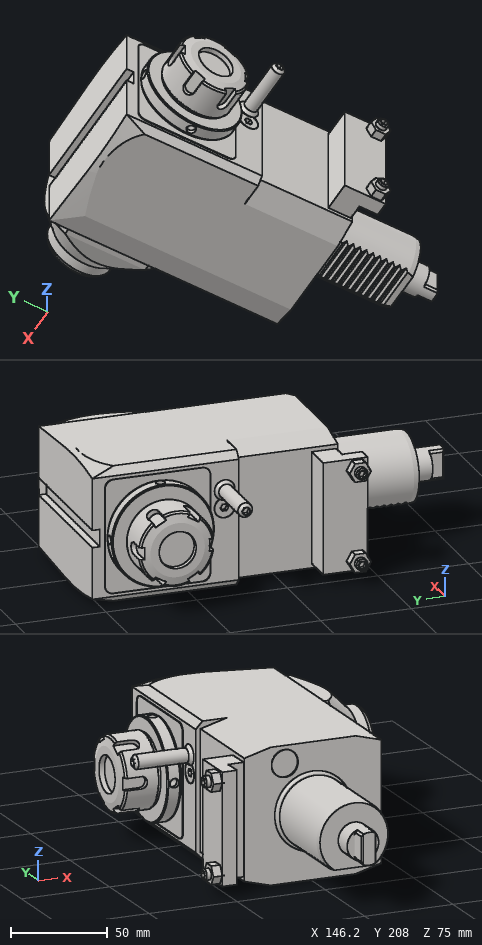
import cadquery as cq
import math

OVERLAP = 1.0
OVERALL_LENGTH = 208.0
OVERALL_WIDTH = 146.2
OVERALL_HEIGHT = 75.0

HOUSING_LENGTH = 136.5
HALF_HEIGHT = OVERALL_HEIGHT / 2
EDGE_Z = 33.5
UPPER_LEFT = -41.5
UPPER_BEVEL = 4.0
LOWER_LEFT = -39.0
LOWER_BEVEL = 15.0
RIGHT = 39.0
RIGHT_BEVEL = 14.5
STEP_Y = 55.5
BACK_BEVEL_LENGTH = 13.0
ARC_MIDDLE_SHARE = 0.23
ARC_MIDDLE_RISE = 2.5
ARC_END_SHARE = 0.5
ARC_END_RISE = 2.7
NOTCH_DEPTH = 4.2
NOTCH_WIDTH = 9.5
PLUG_X = -15.8
PLUG_Z = 27.7
PLUG_RADIUS = 7.5
PLUG_RECESS = 0.8

SHANK_RADIUS = 20.0
SHANK_LENGTH = 52.2
SHANK_CHAMFER_LENGTH = 3.1
SHANK_CHAMFER_DEPTH = 0.6
SHANK_FLAT_Z = -15.8
FLAT_RUNOUT_Y = -3.3
COLLAR_RADIUS = 21.6
COLLAR_LENGTH = 2.5
COLLAR_ROUND = 1.5
GROOVE_COUNT = 10
GROOVE_PITCH = 4.0
FIRST_GROOVE_Y = -11.2
GROOVE_DEPTH = 1.2
GROOVE_WIDTH = 3.1
STEM_RADIUS = 9.0
STEM_END_Y = -63.5
TANG_END_Y = HOUSING_LENGTH - OVERALL_LENGTH
TANG_WIDTH = 8.3
TANG_SIDE_CHAMFER = 1.0
TANG_END_CHAMFER = 0.8
TANG_ROOT_FILLET = 0.6

SPINDLE_Y = 100.5
PLATE_THICKNESS = 0.5
PLATE_LENGTH = 58.2
PLATE_HEIGHT = 63.2
PLATE_CORNER = 4.5
FLANGE_RADIUS = 28.3
FLANGE_FACE_X = -50.1
FLANGE_HOLE_COUNT = 4
FLANGE_HOLE_X = -46.2
FLANGE_HOLE_RADIUS = 2.5
FLANGE_HOLE_DEPTH = 2.5
FLANGE_HOLE_TIP_DEPTH = 4.0
FLANGE_BACK_X = -42.5
FLANGE_CHAMFER = 0.6
NECK_RADIUS = 20.0
NUT_RADIUS = 20.8
NUT_BACK_X = -51.8
NUT_RIM_X = -70.5
NUT_RIM_CHAMFER = 1.0
NUT_FACE_X = -71.8
NUT_FACE_RADIUS = 15.0
BORE_RADIUS = 10.2
BORE_DEPTH = 3.1
SLOT_COUNT = 6
SLOT_WIDTH = 6.7
SLOT_END_X = -58.2
SLOT_FLOOR_RADIUS = 17.9
COVER_RADIUS = 40.1
COVER_DISC_X = 43.0
COVER_NOSE_X = 63.9
COVER_CHAMFER_X = 69.7
COVER_END_X = 72.2
COVER_END_RADIUS = 17.7
COVER_TOP_Y = 31.5
COVER_FLAT_Z = 32.2
COVER_FLAT_SLOPE = 12.6

PIN_Y = 63.5
PIN_Z = 17.5
PIN_RADIUS = 4.0
PIN_TIP_X = COVER_END_X - OVERALL_WIDTH
PIN_CHAMFER = 1.9
PIN_COLLAR_RADIUS = 5.6
PIN_COLLAR_LENGTH = 2.0
SCREW_Z = 7.7
SCREW_RADIUS = 5.6
SCREW_RECESS = 0.2
SOCKET_WIDTH = 3.7
SOCKET_DEPTH = 2.5

BRACKET_LEFT = -56.0
BRACKET_LEG_RIGHT = -47.6
BRACKET_TOP_Y = 14.4
BRACKET_STEP_Y = 0.8
BRACKET_BOTTOM_Y = -10.2
BRACKET_HEIGHT = 62.2
NUT_Y = -4.4
NUT_Z = 25.2
HEX_ACROSS_FLATS = 10.2
HEX_THICKNESS = 5.0
STUD_RADIUS = 3.1
STUD_LENGTH = 8.3
STUD_CHAMFER = 0.8


def rod_x(x_start, x_end, radius, y, z):
    """Cylinder along X between two X positions."""
    return cq.Workplane("YZ", origin=(x_start, y, z)).circle(radius).extrude(x_end - x_start)


def hex_x(x_start, x_end, across_flats, y, z):
    """Hexagonal bar along X with its flats facing up and down."""
    corner_diameter = across_flats / math.cos(math.pi / 6)
    return cq.Workplane("YZ", origin=(x_start, y, z)).polygon(6, corner_diameter).extrude(x_end - x_start)


def turned_x(profile, y, z):
    """Body of revolution about an axis along X; the profile lists (x, radius) pairs."""
    section = cq.Workplane("XY").polyline(profile).close()
    return section.revolve(360, (0, 0, 0), (1, 0, 0)).translate((0, y, z))


def box(x_range, y_range, z_range):
    """Box given by its limits along each axis."""
    sizes = [end - start for start, end in (x_range, y_range, z_range)]
    corner = (x_range[0], y_range[0], z_range[0])
    return cq.Workplane("XY").box(*sizes, centered=False).translate(corner)


def bevelled_block(left, left_bevel, y_start, y_end):
    """Length of housing with its four long edges bevelled."""
    outline = [
        (left, -EDGE_Z),
        (left + left_bevel, -HALF_HEIGHT),
        (RIGHT - RIGHT_BEVEL, -HALF_HEIGHT),
        (RIGHT, -EDGE_Z),
        (RIGHT, EDGE_Z),
        (RIGHT - RIGHT_BEVEL, HALF_HEIGHT),
        (left + left_bevel, HALF_HEIGHT),
        (left, EDGE_Z),
    ]
    plane = cq.Workplane("XZ", origin=(0, y_start, 0))
    return plane.polyline(outline).close().extrude(y_start - y_end)


def back_bevel_cutter():
    """Ruled body above the arched bevel at the back of the top face."""
    def section(plane, left, right, z):
        clearance_z = HALF_HEIGHT + BACK_BEVEL_LENGTH
        width = right - left
        return (
            plane.moveTo(left, z)
            .threePointArc(
                (left + ARC_MIDDLE_SHARE * width, z + ARC_MIDDLE_RISE),
                (left + ARC_END_SHARE * width, z + ARC_END_RISE),
            )
            .lineTo(right, z)
            .lineTo(right, clearance_z)
            .lineTo(left, clearance_z)
            .close()
        )

    inner_y = HOUSING_LENGTH - BACK_BEVEL_LENGTH
    inner_left = UPPER_LEFT + UPPER_BEVEL
    inner = section(cq.Workplane("XZ", origin=(0, inner_y, 0)), inner_left, RIGHT - RIGHT_BEVEL, HALF_HEIGHT)
    both = section(inner.workplane(offset=-BACK_BEVEL_LENGTH), UPPER_LEFT, RIGHT, EDGE_Z)
    return both.loft(ruled=True)


def make_housing():
    upper = bevelled_block(UPPER_LEFT, UPPER_BEVEL, STEP_Y, HOUSING_LENGTH)
    lower = bevelled_block(LOWER_LEFT, LOWER_BEVEL, 0, STEP_Y)
    cutter = back_bevel_cutter()
    body = upper.cut(cutter).cut(cutter.mirror("XY")).union(lower)
    notch = box(
        (UPPER_LEFT, RIGHT),
        (HOUSING_LENGTH - NOTCH_DEPTH, HOUSING_LENGTH),
        (-NOTCH_WIDTH / 2, NOTCH_WIDTH / 2),
    )
    plug = cq.Workplane("XZ", origin=(PLUG_X, 0, PLUG_Z)).circle(PLUG_RADIUS).extrude(-PLUG_RECESS)
    return body.cut(notch).cut(plug)


def make_shank():
    def rod_y(y_start, y_end, radius):
        return cq.Workplane("XZ", origin=(0, y_start, 0)).circle(radius).extrude(y_start - y_end)

    def across_shank(outline):
        return cq.Workplane("YZ").polyline(outline).close().extrude(SHANK_RADIUS, both=True)

    shank = rod_y(OVERLAP, -SHANK_LENGTH, SHANK_RADIUS)
    shank = shank.faces("<Y").chamfer(SHANK_CHAMFER_LENGTH, SHANK_CHAMFER_DEPTH)
    runout_length = SHANK_RADIUS + SHANK_FLAT_Z
    below_flat = [
        (FLAT_RUNOUT_Y, -SHANK_RADIUS),
        (FLAT_RUNOUT_Y - runout_length, SHANK_FLAT_Z),
        (-SHANK_LENGTH, SHANK_FLAT_Z),
        (-SHANK_LENGTH, -SHANK_RADIUS),
    ]
    shank = shank.cut(across_shank(below_flat))
    for index in range(GROOVE_COUNT):
        y = FIRST_GROOVE_Y - index * GROOVE_PITCH
        groove = [
            (y - GROOVE_WIDTH / 2, SHANK_FLAT_Z),
            (y, SHANK_FLAT_Z + GROOVE_DEPTH),
            (y + GROOVE_WIDTH / 2, SHANK_FLAT_Z),
        ]
        shank = shank.cut(across_shank(groove))
    collar = rod_y(OVERLAP, -COLLAR_LENGTH, COLLAR_RADIUS).faces("<Y").edges().fillet(COLLAR_ROUND)
    stem = rod_y(-SHANK_LENGTH + OVERLAP, STEM_END_Y, STEM_RADIUS)
    tang_start_y = STEM_END_Y + OVERLAP
    tang_slab = box(
        (-TANG_WIDTH / 2, TANG_WIDTH / 2),
        (TANG_END_Y, tang_start_y),
        (-STEM_RADIUS, STEM_RADIUS),
    )
    tang = rod_y(tang_start_y, TANG_END_Y, STEM_RADIUS).intersect(tang_slab)
    tang = tang.edges("|Y").chamfer(TANG_SIDE_CHAMFER)
    tang = tang.faces("<Y").edges("|Z").chamfer(TANG_END_CHAMFER)
    stem = stem.union(tang)
    stem = stem.edges("|Z").edges(">Y").fillet(TANG_ROOT_FILLET)
    return shank.union(collar).union(stem)


def make_collet_side():
    plate = (
        cq.Workplane("YZ", origin=(UPPER_LEFT + OVERLAP, SPINDLE_Y, 0))
        .rect(PLATE_LENGTH, PLATE_HEIGHT)
        .extrude(-OVERLAP - PLATE_THICKNESS)
        .edges("|X")
        .fillet(PLATE_CORNER)
    )
    profile = [
        (UPPER_LEFT + OVERLAP, 0),
        (UPPER_LEFT + OVERLAP, FLANGE_RADIUS - FLANGE_CHAMFER),
        (FLANGE_BACK_X, FLANGE_RADIUS - FLANGE_CHAMFER),
        (FLANGE_BACK_X - FLANGE_CHAMFER, FLANGE_RADIUS),
        (FLANGE_FACE_X + FLANGE_CHAMFER, FLANGE_RADIUS),
        (FLANGE_FACE_X, FLANGE_RADIUS - FLANGE_CHAMFER),
        (FLANGE_FACE_X, NECK_RADIUS),
        (NUT_BACK_X, NECK_RADIUS),
        (NUT_BACK_X, NUT_RADIUS),
        (NUT_RIM_X + NUT_RIM_CHAMFER, NUT_RADIUS),
        (NUT_RIM_X, NUT_RADIUS - NUT_RIM_CHAMFER),
        (NUT_FACE_X, NUT_FACE_RADIUS),
        (NUT_FACE_X, BORE_RADIUS),
        (NUT_FACE_X + BORE_DEPTH, BORE_RADIUS),
        (NUT_FACE_X + BORE_DEPTH, 0),
    ]
    spindle = turned_x(profile, 0, 0)
    half_slot = SLOT_WIDTH / 2
    slot = (
        cq.Workplane("XZ")
        .moveTo(NUT_FACE_X, half_slot)
        .lineTo(SLOT_END_X - half_slot, half_slot)
        .threePointArc((SLOT_END_X, 0), (SLOT_END_X - half_slot, -half_slot))
        .lineTo(NUT_FACE_X, -half_slot)
        .close()
        .extrude(-NUT_RADIUS)
        .translate((0, SLOT_FLOOR_RADIUS, 0))
    )
    for index in range(SLOT_COUNT):
        spindle = spindle.cut(slot.rotate((0, 0, 0), (1, 0, 0), index * 360 / SLOT_COUNT))
    hole = (
        cq.Workplane("XZ")
        .polyline([
            (0, FLANGE_RADIUS - FLANGE_HOLE_TIP_DEPTH),
            (FLANGE_HOLE_RADIUS, FLANGE_RADIUS - FLANGE_HOLE_DEPTH),
            (FLANGE_HOLE_RADIUS, FLANGE_RADIUS),
            (0, FLANGE_RADIUS),
        ])
        .close()
        .revolve(360, (0, 0, 0), (0, 1, 0))
        .translate((FLANGE_HOLE_X, 0, 0))
    )
    for index in range(FLANGE_HOLE_COUNT):
        spindle = spindle.cut(hole.rotate((0, 0, 0), (1, 0, 0), index * 360 / FLANGE_HOLE_COUNT))
    return plate.union(spindle.translate((0, SPINDLE_Y, 0)))


def make_cover():
    nose_radius = COVER_RADIUS - (COVER_NOSE_X - COVER_DISC_X)
    profile = [
        (RIGHT - OVERLAP, 0),
        (RIGHT - OVERLAP, COVER_RADIUS),
        (COVER_DISC_X, COVER_RADIUS),
        (COVER_NOSE_X, nose_radius),
        (COVER_CHAMFER_X, nose_radius),
        (COVER_END_X, COVER_END_RADIUS),
        (COVER_END_X, 0),
    ]
    end_z = COVER_FLAT_Z - (COVER_END_X - COVER_DISC_X) * math.tan(math.radians(COVER_FLAT_SLOPE))
    envelope = (
        cq.Workplane("XZ")
        .polyline([
            (RIGHT - OVERLAP, -COVER_FLAT_Z),
            (COVER_DISC_X, -COVER_FLAT_Z),
            (COVER_END_X, -end_z),
            (COVER_END_X, end_z),
            (COVER_DISC_X, COVER_FLAT_Z),
            (RIGHT - OVERLAP, COVER_FLAT_Z),
        ])
        .close()
        .extrude(COVER_RADIUS + COVER_TOP_Y)
        .translate((0, SPINDLE_Y + COVER_TOP_Y, 0))
    )
    return turned_x(profile, SPINDLE_Y, 0).intersect(envelope)


def make_pin():
    collar_x = UPPER_LEFT - PIN_COLLAR_LENGTH
    profile = [
        (UPPER_LEFT + OVERLAP, 0),
        (UPPER_LEFT + OVERLAP, PIN_COLLAR_RADIUS),
        (UPPER_LEFT, PIN_COLLAR_RADIUS),
        (collar_x, PIN_RADIUS),
        (PIN_TIP_X + PIN_CHAMFER, PIN_RADIUS),
        (PIN_TIP_X, PIN_RADIUS - PIN_CHAMFER),
        (PIN_TIP_X, 0),
    ]
    socket = hex_x(PIN_TIP_X, PIN_TIP_X + SOCKET_DEPTH, SOCKET_WIDTH, PIN_Y, PIN_Z)
    return turned_x(profile, PIN_Y, PIN_Z).cut(socket)


def screw_recess():
    head_x = UPPER_LEFT + SCREW_RECESS
    head = rod_x(UPPER_LEFT, head_x, SCREW_RADIUS, PIN_Y, SCREW_Z)
    return head.union(hex_x(UPPER_LEFT, head_x + SOCKET_DEPTH, SOCKET_WIDTH, PIN_Y, SCREW_Z))


def make_bracket():
    half_height = BRACKET_HEIGHT / 2
    z_range = (-half_height, half_height)
    foot = box((BRACKET_LEFT, LOWER_LEFT + OVERLAP), (BRACKET_STEP_Y, BRACKET_TOP_Y), z_range)
    leg = box((BRACKET_LEFT, BRACKET_LEG_RIGHT), (BRACKET_BOTTOM_Y, BRACKET_TOP_Y), z_range)
    bracket = foot.union(leg)
    stud_end = BRACKET_LEFT - STUD_LENGTH
    for z in (-NUT_Z, NUT_Z):
        nut = hex_x(BRACKET_LEFT + OVERLAP, BRACKET_LEFT - HEX_THICKNESS, HEX_ACROSS_FLATS, NUT_Y, z)
        stud = rod_x(BRACKET_LEFT + OVERLAP, stud_end, STUD_RADIUS, NUT_Y, z)
        stud = stud.faces("<X").chamfer(STUD_CHAMFER)
        socket = hex_x(stud_end, stud_end + SOCKET_DEPTH, SOCKET_WIDTH, NUT_Y, z)
        bracket = bracket.union(nut).union(stud).cut(socket)
    return bracket


result = (
    make_housing()
    .cut(screw_recess())
    .union(make_shank())
    .union(make_collet_side())
    .union(make_cover())
    .union(make_pin())
    .union(make_bracket())
)